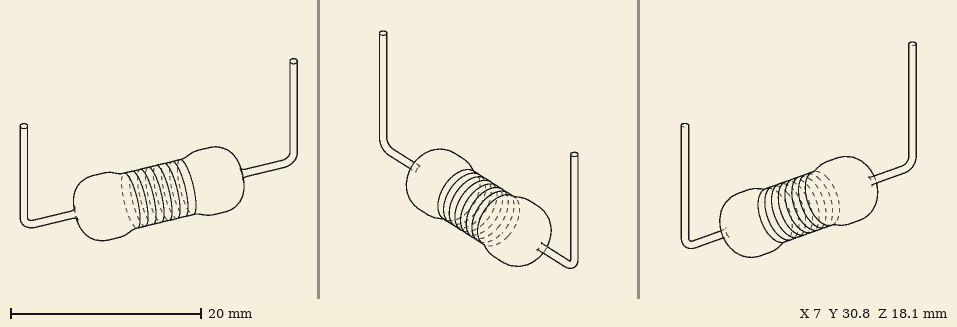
import cadquery as cq

span = 30.8
height = 18.1
head_radius = 7.0 / 2
lead_radius = 0.8 / 2
bend_radius = 1.2

body_half_length = 9.0
head_outer = 6.6
head_inner = 5.17
barrel_half_length = 3.1

barrel_radius = 5.95 / 2
band_radius = 5.98 / 2
band_count = 4

lead_y = span / 2 - lead_radius
lead_top = height - head_radius
end_round = body_half_length - head_outer
end_face_radius = head_radius - end_round
flare = end_face_radius - lead_radius
flare_end = body_half_length + flare
shoulder_y = (head_inner + barrel_half_length) / 2
shoulder_radius = (head_radius + barrel_radius) / 2
shoulder_rise = shoulder_radius - barrel_radius
shoulder_run = shoulder_y - barrel_half_length
shoulder_arc = (shoulder_rise**2 + shoulder_run**2) / (2 * shoulder_rise)
segment_length = 2 * barrel_half_length / (2 * band_count - 1)


def make_head():
    """Revolve one end: S-shaped shoulder, rounded head and flare to the lead."""
    profile = (
        cq.Workplane("XY")
        .moveTo(0, barrel_half_length)
        .lineTo(barrel_radius, barrel_half_length)
        .radiusArc((shoulder_radius, shoulder_y), shoulder_arc)
        .radiusArc((head_radius, head_inner), -shoulder_arc)
        .lineTo(head_radius, head_outer)
        .radiusArc((end_face_radius, body_half_length), -end_round)
        .radiusArc((lead_radius, flare_end), flare)
        .lineTo(0, flare_end)
        .close()
    )
    return profile.revolve(360, (0, 0, 0), (0, 1, 0))


def make_disc(radius, start_y, length):
    """Cylinder around the Y axis, running from start_y toward +Y."""
    return cq.Workplane("XZ", origin=(0, start_y, 0)).circle(radius).extrude(-length)


def make_lead():
    """Wire leaving the head along +Y and bending up to +Z."""
    path = (
        cq.Workplane("YZ")
        .moveTo(flare_end, 0)
        .lineTo(lead_y - bend_radius, 0)
        .tangentArcPoint((lead_y, bend_radius), relative=False)
        .lineTo(lead_y, lead_top)
    )
    return cq.Workplane("XZ", origin=(0, flare_end, 0)).circle(lead_radius).sweep(path)


end = make_head().union(make_lead())
barrel = make_disc(barrel_radius, -barrel_half_length, 2 * barrel_half_length)

for index in range(band_count):
    band_start = -barrel_half_length + 2 * index * segment_length
    barrel = barrel.union(make_disc(band_radius, band_start, segment_length))

result = barrel.union(end).union(end.mirror("XZ"))